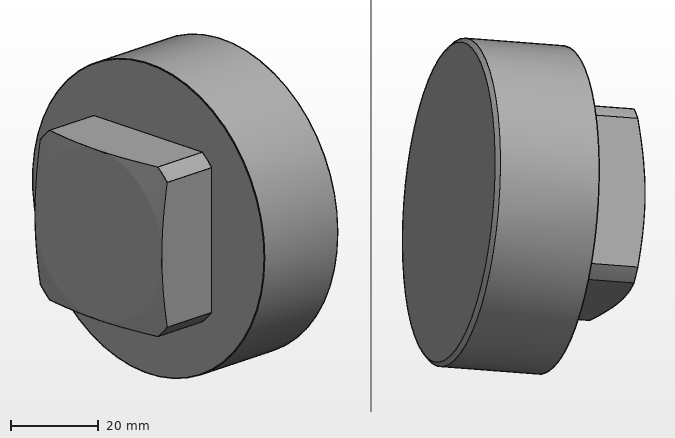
import cadquery as cq
import math

flange_diameter = 75.2
flange_thickness = 24.6
back_chamfer = 1.0
front_chamfer = 0.15

overall_length = 40.6
square_width = 41.05
corner_diameter = 54.0
lead_in_angle = 15.0
drive_length = overall_length - flange_thickness
lead_in_depth = (corner_diameter - square_width) / 2 * math.tan(math.radians(lead_in_angle))


def make_flange():
    """Disc along Y with its front face on Y = 0 and its back face at +Y."""
    disc = cq.Workplane("XZ").circle(flange_diameter / 2).extrude(-flange_thickness)
    return disc.faces(">Y").chamfer(back_chamfer).faces("<Y").chamfer(front_chamfer)


def make_drive():
    """Square bar toward -Y, cut to a turned blank that ends in a cone."""
    square = cq.Workplane("XZ").rect(square_width, square_width).extrude(drive_length)
    turned_blank = (
        cq.Workplane("XY")
        .lineTo(corner_diameter / 2, 0)
        .lineTo(corner_diameter / 2, lead_in_depth - drive_length)
        .lineTo(square_width / 2, -drive_length)
        .lineTo(0, -drive_length)
        .close()
        .revolve(axisStart=(0, 0), axisEnd=(0, 1))
    )
    return square.intersect(turned_blank)


result = make_flange().union(make_drive())